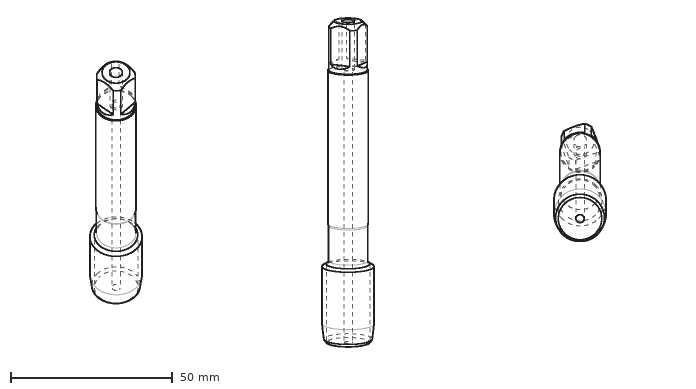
import cadquery as cq
import math

total_length = 102.0

head_diameter = 16.2
core_diameter = 13.5
head_top_z = 24.1
lead_top_z = 5.9
lead_end_diameter = 15.1
end_chamfer_height = 1.0
shoulder_angle = math.radians(30)

neck_diameter = 12.2
shank_diameter = 12.5
shank_bottom_z = 37.6
shank_top_z = 86.5
collar_diameter = 12.0
lower_step_height = 0.5
upper_step_height = 0.2

square_width = 10.0
flat_bottom_z = 88.9
drive_top_diameter = 8.7

coolant_diameter = 2.5
inlet_diameter = 4.0
inlet_depth = 15.3

head_radius = head_diameter / 2
core_radius = core_diameter / 2
neck_radius = neck_diameter / 2
shank_radius = shank_diameter / 2
collar_radius = collar_diameter / 2
drive_top_radius = drive_top_diameter / 2
lead_end_radius = lead_end_diameter / 2

core_top_z = head_top_z + (head_radius - core_radius) * math.tan(shoulder_angle)

neck_fillet_radius = (core_radius - neck_radius) / (1 - math.sin(shoulder_angle))
neck_bottom_z = core_top_z + neck_fillet_radius * math.cos(shoulder_angle)
middle_angle = (math.pi / 2 - shoulder_angle) / 2
neck_fillet_middle = (
    neck_radius + neck_fillet_radius * (1 - math.cos(middle_angle)),
    neck_bottom_z - neck_fillet_radius * math.sin(middle_angle),
)


def revolve_outline(outline):
    """Close an outline drawn in radius and z, and turn it about the Z axis."""
    return outline.close().revolve(360, (0, 0), (0, 1))


def make_shank_blank():
    """Turned outline of the shank, with the core that fills the head."""
    outline = (
        cq.Workplane("XZ")
        .lineTo(core_radius, 0)
        .lineTo(core_radius, core_top_z)
        .threePointArc(neck_fillet_middle, (neck_radius, neck_bottom_z))
        .lineTo(neck_radius, shank_bottom_z - lower_step_height)
        .lineTo(shank_radius, shank_bottom_z)
        .lineTo(shank_radius, shank_top_z - upper_step_height)
        .lineTo(collar_radius, shank_top_z)
        .lineTo(collar_radius, total_length - (collar_radius - drive_top_radius))
        .lineTo(drive_top_radius, total_length)
        .lineTo(0, total_length)
    )
    return revolve_outline(outline)


def make_flat_cutter():
    """Removes one drive flat on the +X side, ending in a 45 degree run-out."""
    half_square = square_width / 2
    reach = head_radius - half_square
    return (
        cq.Workplane("XZ")
        .polyline([
            (half_square, flat_bottom_z),
            (half_square + reach, flat_bottom_z - reach),
            (half_square + reach, total_length),
            (half_square, total_length),
        ])
        .close()
        .extrude(head_radius, both=True)
    )


def make_shank():
    shank = make_shank_blank()

    for angle in range(0, 360, 90):
        shank = shank.cut(make_flat_cutter().rotate((0, 0, 0), (0, 0, 1), angle))

    passage = cq.Workplane("XY").circle(coolant_diameter / 2).extrude(total_length)
    inlet = (
        cq.Workplane("XY")
        .workplane(offset=total_length - inlet_depth)
        .circle(inlet_diameter / 2)
        .extrude(inlet_depth)
    )
    return shank.cut(passage).cut(inlet)


def make_thread_ring():
    """Plain ring standing for the thread, tapered at its lower end."""
    outline = cq.Workplane("XZ").polyline([
        (core_radius, 0),
        (lead_end_radius, end_chamfer_height),
        (head_radius, lead_top_z),
        (head_radius, head_top_z),
        (core_radius, core_top_z),
    ])
    return revolve_outline(outline)


shank = make_shank()
thread_ring = make_thread_ring()

result = cq.Compound.makeCompound([shank.val(), thread_ring.val()])